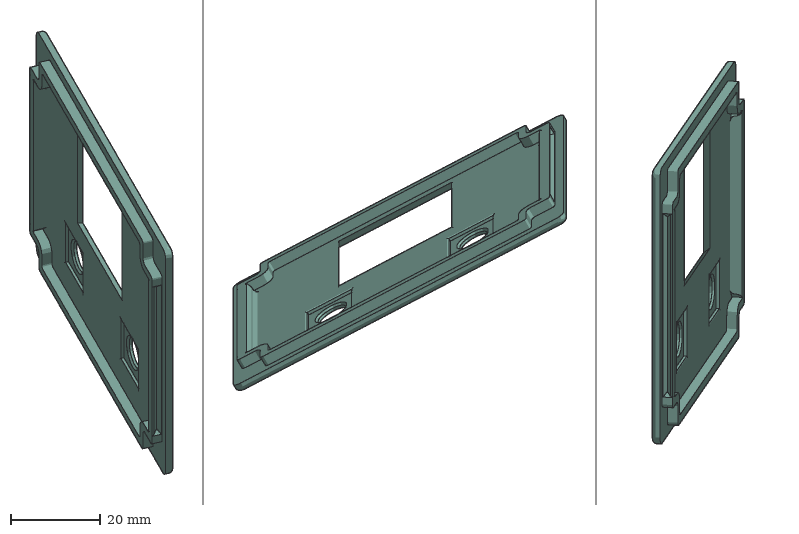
import cadquery as cq
import math

plate_width = 85.0
plate_height = 65.0
plate_thickness = 2.0
plate_corner_radius = 2.0
outer_edge_radius = 1.0
total_depth = 4.4

rim_inset = 2.3
rim_wall = 2.0
rim_notch = 6.0
rim_convex_radius = 0.8
rim_notch_radius = 1.3
rim_inner_convex_radius = 0.8
rim_inner_notch_radius = 2.6
selection_margin = 0.2

window_width = 29.0
window_height = 28.5
window_center_x = -0.8
window_center_z = 11.25

button_spacing = 36.4
button_center_x = 0.4
button_center_z = -14.9
pocket_size = 12.2
pocket_depth = 0.8
flare_width = 0.4
flare_depth = 0.1
hole_diameter = 7.1
hole_chamfer = 0.5

groove_start = 0.2
groove_valley_depth = 1.0
groove_lip_depth = 1.85
groove_inset = 1.05
groove_lip_inset = 0.25
groove_half_length = 21.6
rib_fillet_radius = 0.95
rib_reach = 1.25
rib_chamfer_depth = 0.45
rib_chamfer_width = 0.4
rib_shoulder_run = 0.3

rim_height = total_depth - plate_thickness
inner_face_y = rim_height - total_depth / 2
tip_y = -total_depth / 2
rim_half_x = plate_width / 2 - rim_inset
rim_half_z = plate_height / 2 - rim_inset
side_half_length = rim_half_z - rim_notch - rim_wall
wall_inner_x = rim_half_x - rim_wall


def xz_plane(y):
    """Sketch plane at height y whose local axes are X and Z; extruding goes toward -Y."""
    return cq.Workplane("XZ", origin=(0, y, 0))


def make_plate():
    plate = xz_plane(inner_face_y + plate_thickness).rect(plate_width, plate_height).extrude(plate_thickness)
    plate = plate.edges("|Y").fillet(plate_corner_radius)
    return plate.faces(">Y").edges().fillet(outer_edge_radius)


def notched_block(half_x, half_z, convex_radius, notch_radius):
    """Rim-high block with square corner notches, rounded at the convex and the notch corners."""
    step_x = half_x - rim_notch
    step_z = half_z - rim_notch
    base = xz_plane(inner_face_y)
    wide = base.rect(2 * half_x, 2 * step_z).extrude(rim_height).edges("|Y").fillet(convex_radius)
    tall = base.rect(2 * step_x, 2 * half_z).extrude(rim_height).edges("|Y").fillet(convex_radius)
    notch_edges = cq.selectors.BoxSelector(
        (-step_x - selection_margin, -total_depth, -step_z - selection_margin),
        (step_x + selection_margin, total_depth, step_z + selection_margin),
    )
    return wide.union(tall).edges("|Y").edges(notch_edges).fillet(notch_radius)


def make_rim():
    outer = notched_block(rim_half_x, rim_half_z, rim_convex_radius, rim_notch_radius)
    inner = notched_block(
        wall_inner_x, rim_half_z - rim_wall, rim_inner_convex_radius, rim_inner_notch_radius
    )
    return outer.cut(inner)


def mitred(profile, wall_x, half_length, reach):
    """Extrude an XY profile along Z, with 45 degree ends narrowing from wall_x toward X = 0."""
    bar = profile.extrude(half_length, both=True)
    far_x = wall_x - reach
    far_length = half_length - reach
    outline = [(wall_x, -half_length), (wall_x, half_length), (far_x, far_length), (far_x, -far_length)]
    return bar.intersect(xz_plane(inner_face_y).polyline(outline).close().extrude(rim_height))


def make_rib():
    """Rib on the inside of the +X wall: floor fillet, rounded crest and chamfered tip."""
    crest_x = wall_inner_x - rib_reach
    fillet_x = crest_x - rib_fillet_radius
    fillet_top_y = inner_face_y - rib_fillet_radius
    fillet_mid = (
        fillet_x + rib_fillet_radius * math.sin(math.pi / 4),
        fillet_top_y + rib_fillet_radius * math.cos(math.pi / 4),
    )
    shoulder = (crest_x + rib_shoulder_run, tip_y + rib_chamfer_depth)
    profile = (
        cq.Workplane("XY")
        .moveTo(wall_inner_x, inner_face_y)
        .lineTo(fillet_x, inner_face_y)
        .threePointArc(fillet_mid, (crest_x, fillet_top_y))
        .tangentArcPoint(shoulder, relative=False)
        .lineTo(shoulder[0] + rib_chamfer_width, tip_y)
        .lineTo(wall_inner_x, tip_y)
        .close()
    )
    return mitred(profile, wall_inner_x, side_half_length, wall_inner_x - fillet_x)


def make_groove():
    """Snap groove in the outside of the +X wall, as a solid to remove."""
    profile = (
        cq.Workplane("XY")
        .moveTo(rim_half_x, inner_face_y - groove_start)
        .lineTo(rim_half_x - groove_inset, inner_face_y - groove_valley_depth)
        .lineTo(rim_half_x - groove_lip_inset, inner_face_y - groove_lip_depth)
        .lineTo(rim_half_x, tip_y)
        .close()
    )
    return mitred(profile, rim_half_x, groove_half_length, groove_inset)


def make_button_cut(center_x):
    """Square pocket with a shallow flare at its mouth, and a chamfered through hole in its floor."""
    floor_y = inner_face_y + pocket_depth
    floor_size = pocket_size - 2 * flare_width
    pocket = xz_plane(floor_y).rect(floor_size, floor_size).extrude(pocket_depth)
    flare = (
        xz_plane(inner_face_y + flare_depth)
        .rect(floor_size, floor_size)
        .workplane(offset=flare_depth)
        .rect(pocket_size, pocket_size)
        .loft(ruled=True)
    )
    radius = hole_diameter / 2
    hole = xz_plane(inner_face_y + plate_thickness).circle(radius).extrude(plate_thickness)
    hole_mouth = (
        xz_plane(floor_y + hole_chamfer)
        .circle(radius)
        .workplane(offset=hole_chamfer)
        .circle(radius + hole_chamfer)
        .loft(ruled=True)
    )
    button = pocket.union(flare).union(hole).union(hole_mouth)
    return button.translate((center_x, 0, button_center_z))


def make_window_cut():
    """Rectangular window whose edges are bevelled at 45 degrees, opening toward the outer face."""
    window = (
        xz_plane(inner_face_y + plate_thickness)
        .rect(window_width + 2 * plate_thickness, window_height + 2 * plate_thickness)
        .workplane(offset=plate_thickness)
        .rect(window_width, window_height)
        .loft(ruled=True)
    )
    return window.translate((window_center_x, 0, window_center_z))


result = make_plate()
for side in (-1, 1):
    button_x = button_center_x + side * button_spacing / 2
    result = result.cut(make_button_cut(button_x))

rib = make_rib()
groove = make_groove()
result = result.union(make_rim()).cut(make_window_cut())
result = result.union(rib).union(rib.mirror("YZ"))
result = result.cut(groove).cut(groove.mirror("YZ"))